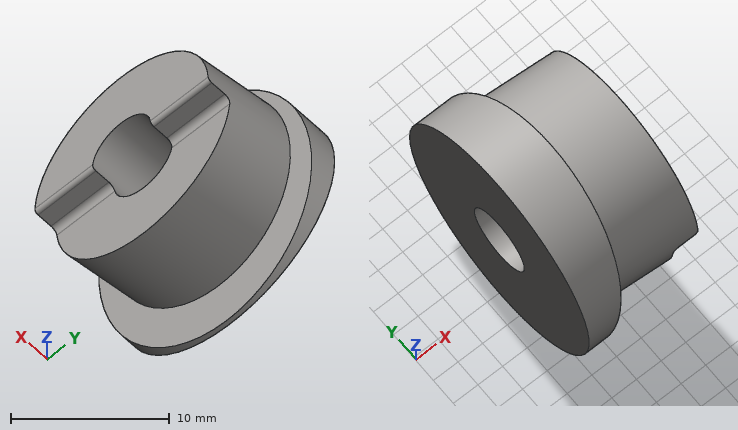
import cadquery as cq
import math

flange_diameter = 18.0
flange_top_thickness = 4.32
flange_bottom_thickness = 0.35
bore_diameter = 5.0

boss_diameter = 15.0
boss_axis_crossing = 9.18
upper_end = 10.06
lower_end = 8.05
step_inner_radius = 0.5
step_outer_radius = 0.32

flange_radius = flange_diameter / 2
tilt = math.atan((flange_top_thickness - flange_bottom_thickness) / flange_diameter)
face_centre = (flange_top_thickness + flange_bottom_thickness) / 2
boss_direction = cq.Vector(math.cos(tilt), 0, -math.sin(tilt))
clearance = 2 * flange_diameter


def make_flange():
    """Wedge-shaped disc, thick at the top and thin at the bottom."""
    disc = cq.Workplane("YZ").circle(flange_radius).extrude(flange_top_thickness)
    side_profile = (
        cq.Workplane("XZ")
        .moveTo(0, -flange_radius)
        .lineTo(flange_bottom_thickness, -flange_radius)
        .lineTo(flange_top_thickness, flange_radius)
        .lineTo(0, flange_radius)
        .close()
        .extrude(clearance / 2, both=True)
    )
    return disc.intersect(side_profile)


def make_boss():
    """Tilted cylinder from the flange face to the stepped, vertical end."""
    axis_start = cq.Vector(boss_axis_crossing, 0, 0) - boss_direction * (
        (boss_axis_crossing - face_centre) * math.cos(tilt)
    )
    cylinder = (
        cq.Workplane(cq.Plane(axis_start.toTuple(), (0, 1, 0), boss_direction.toTuple()))
        .circle(boss_diameter / 2)
        .extrude(clearance)
    )
    step_profile = (
        cq.Workplane("XZ")
        .moveTo(0, -flange_diameter)
        .lineTo(lower_end, -flange_diameter)
        .lineTo(lower_end, -step_inner_radius)
        .radiusArc((lower_end + step_inner_radius, 0), step_inner_radius)
        .lineTo(upper_end - step_outer_radius, 0)
        .radiusArc((upper_end, step_outer_radius), -step_outer_radius)
        .lineTo(upper_end, flange_diameter)
        .lineTo(0, flange_diameter)
        .close()
        .extrude(clearance / 2, both=True)
    )
    return cylinder.intersect(step_profile)


bore = cq.Workplane("YZ").circle(bore_diameter / 2).extrude(clearance)
result = make_flange().union(make_boss()).cut(bore)